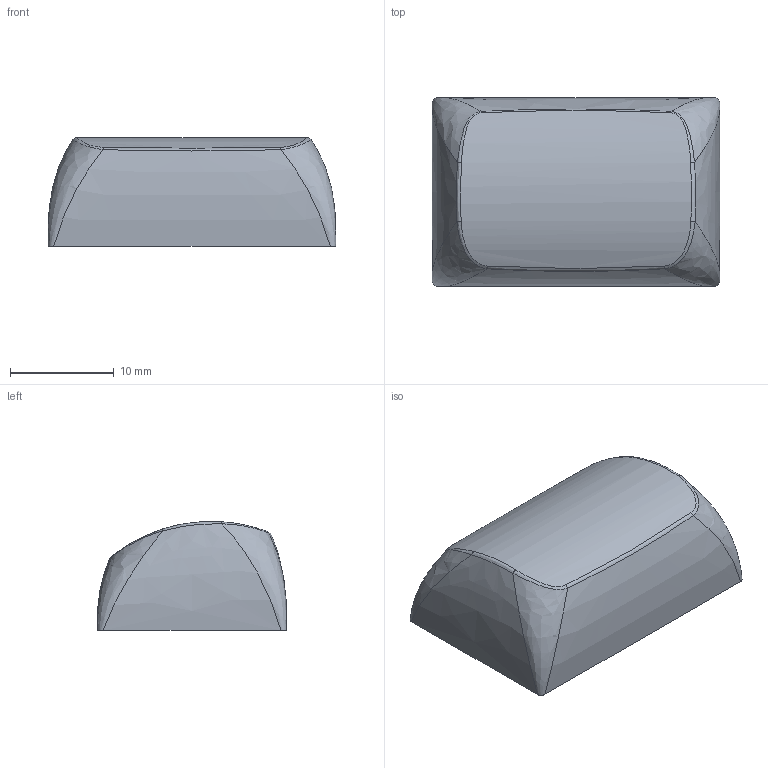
import cadquery as cq

unit_pitch = 19.05
key_units = 1.5
base_depth = 18.2
key_gap = unit_pitch - base_depth
base_width = unit_pitch * key_units - key_gap
height = 10.5
top_tilt = -8.0

top_inset = 5.0
top_width = base_width - top_inset
top_depth = base_depth - top_inset
short_side_bow = 1.7
long_side_bow = 0.4 * short_side_bow

base_corner = 0.5
top_corner = 5.0
mid_corner = (top_corner - base_corner) / 3
mid_level = 1 / 4

crown_drop = 2.1
crown_peak = 2.0
crown_edge = -1.0
cutter_height = 10.0
rim_fillet = 0.5


def rounded_rectangle(corner):
    """Base-sized rectangle with rounded corners."""
    return cq.Sketch().rect(base_width, base_depth).vertices().fillet(corner).reset()


def bowed_top():
    """Rectangle with four outward-bowed sides and large corner fillets."""
    half_x = top_width / 2
    half_y = top_depth / 2
    corner_x = half_x - short_side_bow
    corner_y = half_y - long_side_bow
    return (
        cq.Sketch()
        .arc((-corner_x, -corner_y), (-half_x, 0), (-corner_x, corner_y))
        .arc((-corner_x, corner_y), (0, half_y), (corner_x, corner_y))
        .arc((corner_x, corner_y), (half_x, 0), (corner_x, -corner_y))
        .arc((corner_x, -corner_y), (0, -half_y), (-corner_x, -corner_y))
        .assemble()
        .vertices()
        .fillet(top_corner)
        .reset()
    )


def placed(sketch, level):
    """Raise and tilt a section by the given fraction of the full height and tilt."""
    raised = cq.Vector(0, 0, height * level)
    return sketch.moved(cq.Location(raised, cq.Vector(1, 0, 0), top_tilt * level))


def lofted_body():
    """Smooth solid through the three sections, spaced by their chord lengths."""
    sections = [
        rounded_rectangle(base_corner),
        placed(rounded_rectangle(mid_corner), mid_level),
        placed(bowed_top(), 1),
    ]
    outlines = [section.faces().val().outerWire() for section in sections]
    body = cq.occ_impl.shapes.loft(*outlines, cap=True, parametrization="chordal")
    return cq.Workplane(body)


def crown_cutter():
    """Material above a shallow cylindrical arc that tilts with the top."""
    half_y = base_depth / 2
    return (
        cq.Workplane("YZ")
        .transformed(
            offset=cq.Vector(0, height - crown_drop, -base_width / 2),
            rotate=cq.Vector(0, 0, top_tilt),
        )
        .moveTo(-half_y, crown_edge)
        .threePointArc((0, crown_peak), (half_y, crown_edge))
        .lineTo(half_y, cutter_height)
        .lineTo(-half_y, cutter_height)
        .close()
        .extrude(base_width)
    )


def round_rim(body):
    """Fillet the edge loop around the crown, the only cylindrical face across the top."""
    crown_face = body.faces(cq.selectors.NearestToPointSelector((0, 0, height)))
    return crown_face.edges().fillet(rim_fillet)


crowned_body = lofted_body().cut(crown_cutter())
result = round_rim(crowned_body)